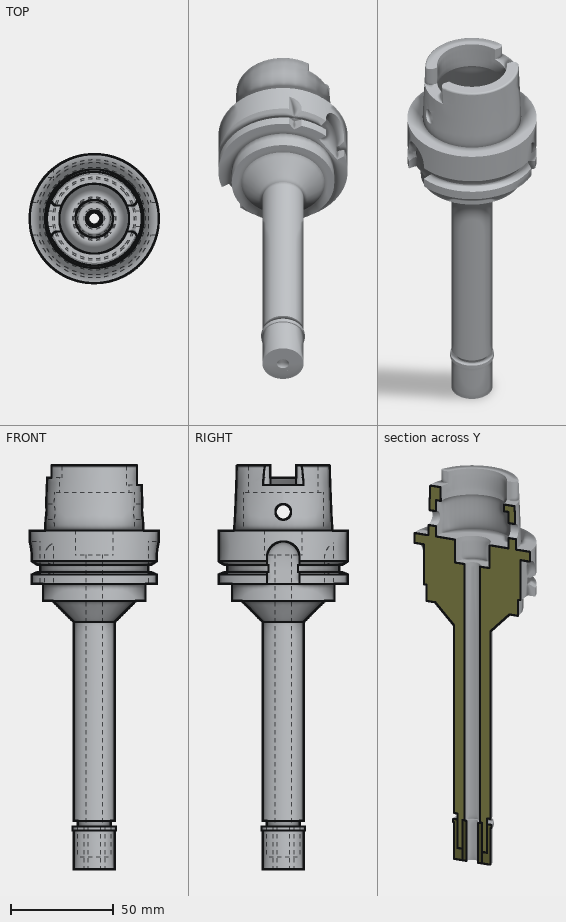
import cadquery as cq


total_height = 197.0

taper_length = 32.0
taper_base_radius = 24.0
taper_slope = 0.04
rim_fillet = 1.0
mouth_diameter = 34.0
mouth_depth = 13.4
undercut_radius = 19.5
undercut_depth = taper_length
cross_hole_diameter = 7.5
cross_hole_depth = 22.9

drive_slot_width = 12.6
drive_slot_depth_left = 6.1
drive_slot_depth_right = 9.7
drive_face_offset = 20.9
drive_corner_radius = 3.0

flange_radius = 31.5
flange_height = 26.0
groove_radius = 27.4
groove_lip_radius = 28.8
groove_top = 15.0
groove_floor_top = 16.7
groove_floor_bottom = 20.3
groove_bottom = 21.5

keyway_width = 16.0
keyway_floor_offset = 26.4
arch_peak_depth = 5.3
notch_floor_offset = 19.9
notch_wall_offset = 20.0

base_radius = 25.0
base_height = 8.3
cone_height = 10.2
extension_radius = 10.0
cone_top_radius = extension_radius + cone_height
neck_radius = 8.0
neck_top = 23.6

tube_seat_diameter = 18.3
tube_seat_depth = 11.8
coolant_diameter = 8.0

nut_height = 20.9
nut_radius = extension_radius
collar_radius = 10.6
collar_height = 2.0
nut_floor_thickness = 6.0
collet_radius = 5.1
collet_height = nut_height
collet_bore_radius = 3.0

flange_top = total_height - taper_length
flange_bottom = flange_top - flange_height
base_bottom = flange_bottom - base_height
cone_bottom = base_bottom - cone_height
undercut_floor = total_height - undercut_depth
taper_tip_radius = taper_base_radius - taper_slope * taper_length


def cylinder(radius, bottom, top):
    """Cylinder on the Z axis between two levels."""
    return cq.Workplane("XY").workplane(offset=bottom).circle(radius).extrude(top - bottom)


def holder_blank():
    """Turned outside of the holder, from the neck inside the nut up to the rim."""
    profile = [
        (0, nut_floor_thickness),
        (neck_radius, nut_floor_thickness),
        (neck_radius, neck_top),
        (extension_radius, neck_top),
        (extension_radius, cone_bottom),
        (cone_top_radius, base_bottom),
        (base_radius, base_bottom),
        (base_radius, flange_bottom),
        (flange_radius, flange_bottom),
        (flange_radius, flange_top - groove_bottom),
        (groove_lip_radius, flange_top - groove_floor_bottom),
        (groove_radius, flange_top - groove_floor_bottom),
        (groove_radius, flange_top - groove_floor_top),
        (groove_lip_radius, flange_top - groove_floor_top),
        (flange_radius, flange_top - groove_top),
        (flange_radius, flange_top),
        (taper_base_radius, flange_top),
        (taper_tip_radius, total_height),
        (0, total_height),
    ]
    blank = cq.Workplane("XZ").polyline(profile).close().revolve(360, (0, 0, 0), (0, 1, 0))
    return blank.faces(">Z").edges().fillet(rim_fillet)


def holder_bores():
    """Stepped bore of the holder and the pocket that seats the collet."""
    mouth = cylinder(mouth_diameter / 2, undercut_floor, total_height)
    undercut = cylinder(undercut_radius, undercut_floor, total_height - mouth_depth)
    tube_seat = cylinder(tube_seat_diameter / 2, undercut_floor - tube_seat_depth, undercut_floor)
    coolant_bore = cylinder(coolant_diameter / 2, 0, undercut_floor)
    collet_pocket = cylinder(collet_radius, 0, collet_height)
    return mouth.union(undercut).union(tube_seat).union(coolant_bore).union(collet_pocket)


def drive_slot(side, depth):
    """Rim slot at -X (side -1) or +X (side 1) that opens onto a flat through rounded corners."""
    reach = flange_radius
    half_width = drive_slot_width / 2
    corner = drive_corner_radius
    face = drive_face_offset
    outline = (
        cq.Workplane("XY").workplane(offset=total_height - depth)
        .moveTo(0, -half_width)
        .lineTo(side * (face - corner), -half_width)
        .radiusArc((side * face, -half_width - corner), side * corner)
        .lineTo(side * face, -reach)
        .lineTo(side * reach, -reach)
        .lineTo(side * reach, reach)
        .lineTo(side * face, reach)
        .lineTo(side * face, half_width + corner)
        .radiusArc((side * (face - corner), half_width), side * corner)
        .lineTo(0, half_width)
        .close()
    )
    return outline.extrude(depth)


def arched_pocket(side, floor_offset, center_y):
    """Round-topped pocket cut along X into the flange, open at the flange's lower face."""
    half_width = keyway_width / 2
    arch_peak = flange_top - arch_peak_depth
    arch_center = arch_peak - half_width
    return (
        cq.Workplane("YZ", origin=(side * floor_offset, 0, 0))
        .moveTo(center_y - half_width, flange_bottom)
        .lineTo(center_y - half_width, arch_center)
        .threePointArc((center_y, arch_peak), (center_y + half_width, arch_center))
        .lineTo(center_y + half_width, flange_bottom)
        .close()
        .extrude(side * flange_radius)
    )


def cross_hole():
    """Hole along X through both walls of the hollow taper."""
    return (
        cq.Workplane("YZ", origin=(0, 0, total_height - cross_hole_depth))
        .circle(cross_hole_diameter / 2)
        .extrude(flange_radius, both=True)
    )


def make_holder():
    body = holder_blank().cut(holder_bores()).cut(cross_hole())
    for side, depth in ((-1, drive_slot_depth_left), (1, drive_slot_depth_right)):
        body = body.cut(drive_slot(side, depth))
        body = body.cut(arched_pocket(side, keyway_floor_offset, 0))
    notch_center = notch_wall_offset + keyway_width / 2
    return body.cut(arched_pocket(-1, notch_floor_offset, notch_center))


def make_nut():
    """Collared nut, bored for the neck from above and for the collet through its floor."""
    body = cylinder(nut_radius, 0, nut_height)
    collar = cylinder(collar_radius, nut_height - collar_height, nut_height)
    neck_bore = cylinder(neck_radius, nut_floor_thickness, nut_height)
    collet_bore = cylinder(collet_radius, 0, nut_floor_thickness)
    return body.union(collar).cut(neck_bore).cut(collet_bore)


def make_collet():
    """Plain sleeve that fills the nut floor and the pocket in the holder's neck."""
    return cylinder(collet_radius, 0, collet_height).cut(cylinder(collet_bore_radius, 0, collet_height))


holder = make_holder()
nut = make_nut()
collet = make_collet()

result = cq.Compound.makeCompound([holder.val(), nut.val(), collet.val()])